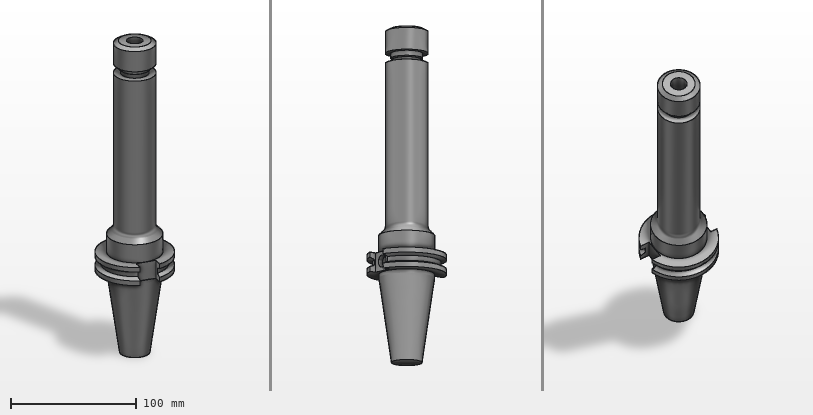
import cadquery as cq
import math

total_height = 271.5

gauge_radius = 22.3
shank_height = 68.5
taper_per_side = 7 / 48
shank_end_radius = gauge_radius - shank_height * taper_per_side

flange_radius = 31.8
flange_bottom = 71.7
flange_thickness = 15.7
flange_top = flange_bottom + flange_thickness
flange_middle = flange_bottom + flange_thickness / 2
groove_floor_radius = 27.5
groove_floor_half_height = 2.04
groove_mouth_half_height = 3.8

slot_width = 16.8
left_slot_floor = 25.0
right_slot_floor = 22.8
pocket_diameter = 9.8
pocket_depth = 4.0

collar_radius = 22.5
shaft_radius = 17.0
blend_top = 111.0
blend_radius = 6.0
blend_angle = math.radians(45)
shaft_top = 243.5

neck_radius = 11.5
ring_radius = 12.8
ring_bottom = 247.5
ring_chamfer = 0.8
nut_bottom = 251.5
nut_chamfer_height = 2.2
nut_face_radius = 13.0
bore_diameter = 13.0
bore_depth = 27.1


def blend_point(angle):
    """Point (radius, height) on the blend, at the given turn away from the shaft wall."""
    radius = shaft_radius + blend_radius * (1 - math.cos(angle))
    height = blend_top - blend_radius * math.sin(angle)
    return radius, height


def make_body():
    """Revolve the half profile around the Z axis."""
    blend_end_radius, blend_end_height = blend_point(blend_angle)
    collar_top = blend_end_height - (collar_radius - blend_end_radius) / math.tan(blend_angle)
    profile = (
        cq.Workplane("XZ")
        .moveTo(0, 0)
        .lineTo(shank_end_radius, 0)
        .lineTo(gauge_radius, shank_height)
        .lineTo(gauge_radius, flange_bottom)
        .lineTo(flange_radius, flange_bottom)
        .lineTo(flange_radius, flange_middle - groove_mouth_half_height)
        .lineTo(groove_floor_radius, flange_middle - groove_floor_half_height)
        .lineTo(groove_floor_radius, flange_middle + groove_floor_half_height)
        .lineTo(flange_radius, flange_middle + groove_mouth_half_height)
        .lineTo(flange_radius, flange_top)
        .lineTo(collar_radius, flange_top)
        .lineTo(collar_radius, collar_top)
        .lineTo(blend_end_radius, blend_end_height)
        .threePointArc(blend_point(blend_angle / 2), blend_point(0))
        .lineTo(shaft_radius, shaft_top)
        .lineTo(neck_radius, shaft_top)
        .lineTo(neck_radius, ring_bottom - ring_chamfer)
        .lineTo(ring_radius, ring_bottom)
        .lineTo(ring_radius, nut_bottom)
        .lineTo(shaft_radius, nut_bottom)
        .lineTo(shaft_radius, total_height - nut_chamfer_height)
        .lineTo(nut_face_radius, total_height)
        .lineTo(0, total_height)
        .close()
    )
    return profile.revolve(360, (0, 0, 0), (0, 1, 0))


def drive_slot(side, floor):
    """Box that cuts the flange from its rim in to the slot floor; side is -1 or +1 along X."""
    length = flange_radius
    center = (side * (floor + length / 2), 0, flange_middle)
    return cq.Workplane("XY").box(length, slot_width, flange_thickness).translate(center)


def slot_pocket():
    """Round pocket going inward from the floor of the -X slot."""
    return (
        cq.Workplane("YZ", origin=(-left_slot_floor, 0, flange_middle))
        .circle(pocket_diameter / 2)
        .extrude(pocket_depth)
    )


def nut_bore():
    """Blind bore in the top face of the nut."""
    return (
        cq.Workplane("XY", origin=(0, 0, total_height - bore_depth))
        .circle(bore_diameter / 2)
        .extrude(bore_depth)
    )


result = (
    make_body()
    .cut(drive_slot(-1, left_slot_floor))
    .cut(drive_slot(1, right_slot_floor))
    .cut(slot_pocket())
    .cut(nut_bore())
)